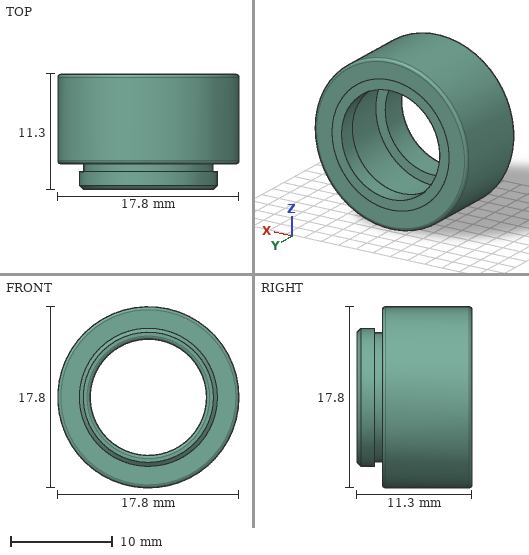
import cadquery as cq

OUTER_RADIUS = 8.9
TOTAL_LENGTH = 11.3

BARREL_LENGTH = 8.8
NECK_RADIUS = 6.35
COLLAR_RADIUS = 6.78
COLLAR_LENGTH = 1.75
COLLAR_CHAMFER = 0.4
BORE_RADIUS = 5.71
BORE_LENGTH = 3.25
COUNTERBORE_RADIUS = 6.8
EDGE_FILLET = 0.3

RING_INNER_RADIUS = 5.7
RING_LENGTH = 2.0

FRONT = -TOTAL_LENGTH / 2
BACK = TOTAL_LENGTH / 2
SHOULDER = BACK - BARREL_LENGTH
COLLAR_BACK = FRONT + COLLAR_LENGTH
COUNTERBORE_FLOOR = FRONT + BORE_LENGTH
RING_FRONT = BACK - RING_LENGTH


def cylinder(radius, start, end):
    """Solid cylinder along Y from start to end."""
    return cq.Workplane("XZ", origin=(0, end, 0)).circle(radius).extrude(end - start)


def make_housing():
    barrel = cylinder(OUTER_RADIUS, SHOULDER, BACK).edges("%CIRCLE").fillet(EDGE_FILLET)
    neck = cylinder(NECK_RADIUS, COLLAR_BACK, SHOULDER)
    collar = cylinder(COLLAR_RADIUS, FRONT, COLLAR_BACK).faces("<Y").chamfer(COLLAR_CHAMFER)
    body = barrel.union(neck).union(collar).cut(cylinder(BORE_RADIUS, FRONT, BACK))

    bore_mouth = cq.selectors.RadiusNthSelector(0)
    body = body.faces("<Y").edges(bore_mouth).fillet(EDGE_FILLET)

    return body.cut(cylinder(COUNTERBORE_RADIUS, COUNTERBORE_FLOOR, BACK))


def make_retaining_ring():
    ring = cylinder(COUNTERBORE_RADIUS, RING_FRONT, BACK)
    return ring.cut(cylinder(RING_INNER_RADIUS, RING_FRONT, BACK))


housing = make_housing()
retaining_ring = make_retaining_ring()

result = cq.Compound.makeCompound([housing.solids().val(), retaining_ring.solids().val()])